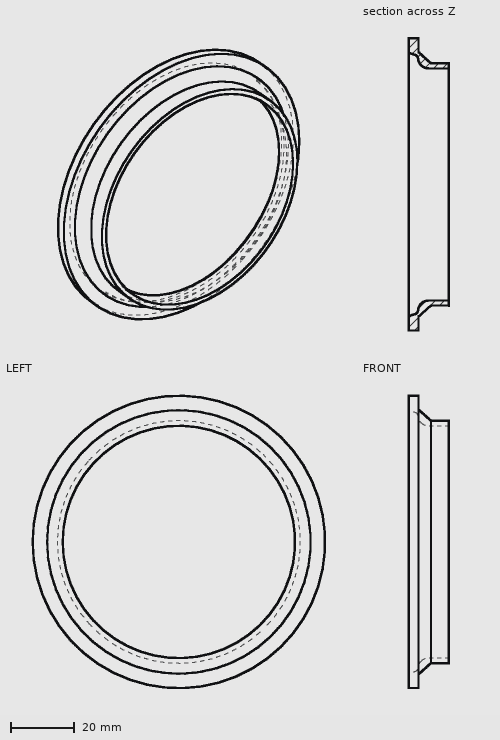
import cadquery as cq
import math


overall_length = 12.7
flange_radius = 92.1 / 2
flange_thickness = 3.1
hub_radius = 76.4 / 2
bore_radius = 73.0 / 2
neck_radius = 41.7
neck_end = 7.0

recess_mouth_radius = 41.4
recess_inner_radius = 40.9
corner_radius = 1.4
lip_radius = 3.4
lip_end = 6.4

radial_drop = recess_inner_radius - bore_radius
sweep = math.acos(1 - radial_drop / (corner_radius + lip_radius))
lip_center_r = bore_radius + lip_radius
corner_center_x = lip_end - (corner_radius + lip_radius) * math.sin(sweep)
corner_center_r = recess_inner_radius - corner_radius


def lip_point(angle):
    """Point on the lip, at an angle measured from its bore end."""
    return (lip_end - lip_radius * math.sin(angle), lip_center_r - lip_radius * math.cos(angle))


def corner_point(angle):
    """Point on the corner arc, at an angle measured from the recess wall."""
    return (
        corner_center_x + corner_radius * math.sin(angle),
        corner_center_r + corner_radius * math.cos(angle),
    )


half_section = (
    cq.Workplane("XY")
    .moveTo(0, recess_mouth_radius)
    .lineTo(0, flange_radius)
    .lineTo(flange_thickness, flange_radius)
    .lineTo(flange_thickness, neck_radius)
    .lineTo(neck_end, hub_radius)
    .lineTo(overall_length, hub_radius)
    .lineTo(overall_length, bore_radius)
    .lineTo(lip_end, bore_radius)
    .threePointArc(lip_point(sweep / 2), lip_point(sweep))
    .threePointArc(corner_point(sweep / 2), corner_point(0))
    .close()
)

result = half_section.revolve(360, (0, 0, 0), (1, 0, 0))